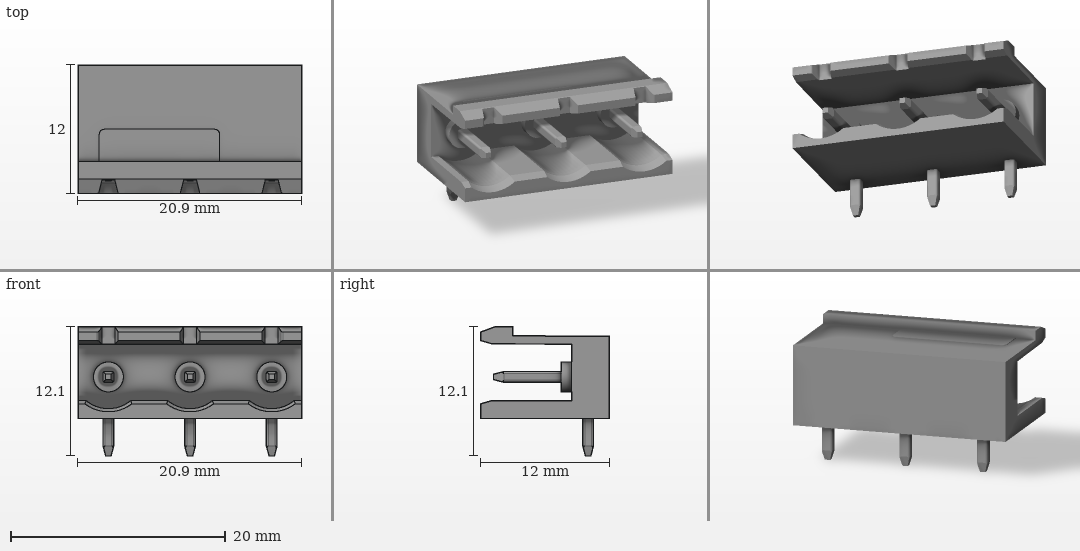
import cadquery as cq


length = 20.85
pin_count = 3
pin_pitch = 7.61
pin_xs = [length / 2 + (i - (pin_count - 1) / 2) * pin_pitch for i in range(pin_count)]

depth = 12.0
top_z = 7.68
floor_z = 1.67
cavity_back_y = 8.47
ceiling_back_z = 6.9
ceiling_mouth_z = 6.97
lead_in_depth = 1.0
lead_in_drop = 0.3
lip_top_z = 8.57
lip_back_y = 3.0
lip_slope_y = 1.35
lip_front_top_z = 8.07

notch_depth = 1.25
notch_front_half_width = 0.92
notch_back_half_width = 0.6
end_corner_radius = 0.19

trough_depth = 0.75
trough_half_width = 2.09
trough_radius = (trough_half_width**2 + trough_depth**2) / (2 * trough_depth)
trough_axis_z = floor_z - trough_depth + trough_radius

boss_diameter = 2.8
boss_height = 0.98

pad_x_start = 1.96
pad_x_end = 13.18
pad_back_y = 6.0
pad_height = 0.06
pad_corner_radius = 0.48

pin_width = 1.02
pin_edge_radius = 0.2
pin_tip_width = pin_width / 2
pin_tip_length = 0.95
pin_z = 3.88
pin_front_y = 1.19
solder_leg_y = 10.01
solder_leg_length = 3.5


def housing_block():
    """Side section of the housing, swept along the full length."""
    profile = [
        (0, 0),
        (depth, 0),
        (depth, top_z),
        (lip_back_y, top_z),
        (lip_back_y, lip_top_z),
        (lip_slope_y, lip_top_z),
        (0, lip_front_top_z),
        (0, ceiling_mouth_z + lead_in_drop),
        (lead_in_depth, ceiling_mouth_z),
        (cavity_back_y, ceiling_back_z),
        (cavity_back_y, floor_z),
        (lead_in_depth, floor_z),
        (0, floor_z - lead_in_drop),
    ]
    return cq.Workplane("YZ").polyline(profile).close().extrude(length)


def lip_notch(x):
    """Wedge that opens the lip above the cavity; it narrows towards the rear."""
    outline = [
        (x - notch_front_half_width, 0),
        (x + notch_front_half_width, 0),
        (x + notch_back_half_width, notch_depth),
        (x - notch_back_half_width, notch_depth),
    ]
    cavity_mid_z = (floor_z + ceiling_back_z) / 2
    wedge = cq.Workplane("XY").workplane(offset=cavity_mid_z).polyline(outline).close()
    return wedge.extrude(lip_top_z - cavity_mid_z)


def round_end_corners(body):
    """Round the outermost front corner of the first and the last notch."""
    corner_xs = (pin_xs[0] - notch_front_half_width, pin_xs[-1] + notch_front_half_width)
    corner_z = (lip_front_top_z + ceiling_mouth_z + lead_in_drop) / 2
    for x in corner_xs:
        body = body.edges(cq.NearestToPointSelector((x, 0, corner_z))).fillet(end_corner_radius)
    return body


def floor_trough(x):
    """Cylinder over the cavity floor that flares into a cone along the lead-in slope."""
    half_profile = [
        (0, 0),
        (trough_radius + lead_in_drop, 0),
        (trough_radius, lead_in_depth),
        (trough_radius, cavity_back_y),
        (0, cavity_back_y),
    ]
    trough = cq.Workplane("XY").polyline(half_profile).close().revolve(360, (0, 0, 0), (0, 1, 0))
    reach = 2 * trough_radius
    lower_half = cq.Workplane("XY").box(reach, depth, reach, centered=(True, False, False))
    lower_half = lower_half.translate((0, 0, -reach))
    return trough.intersect(lower_half).translate((x, 0, trough_axis_z))


def pin_boss(x):
    """Round boss on the back wall of the cavity."""
    plane = cq.Workplane("XZ", origin=(x, cavity_back_y, pin_z))
    return plane.circle(boss_diameter / 2).extrude(boss_height)


def label_pad():
    """Thin pad behind the lip with rounded rear corners."""
    pad = cq.Workplane("XY").box(
        pad_x_end - pad_x_start, pad_back_y - lip_back_y, pad_height, centered=False
    )
    pad = pad.edges("|Z and >Y").fillet(pad_corner_radius)
    return pad.translate((pad_x_start, lip_back_y, top_z))


def pin_leg(leg_length):
    """Square leg along +Z from the origin, with rounded long edges and a tapered tip."""
    shank_length = leg_length - pin_tip_length
    shank = cq.Workplane("XY").rect(pin_width, pin_width).extrude(shank_length)
    tip = (
        cq.Workplane("XY")
        .workplane(offset=shank_length)
        .rect(pin_width, pin_width)
        .workplane(offset=pin_tip_length)
        .rect(pin_tip_width, pin_tip_width)
        .loft(ruled=True)
    )
    rounded_bar = cq.Workplane("XY").rect(pin_width, pin_width).extrude(leg_length)
    rounded_bar = rounded_bar.edges("|Z").fillet(pin_edge_radius)
    return shank.union(tip).intersect(rounded_bar)


def make_pin(x):
    """L-shaped pin: a contact leg to the front and a solder leg downwards."""
    rear_y = solder_leg_y + pin_width / 2
    upper_z = pin_z + pin_width / 2
    contact_leg = pin_leg(rear_y - pin_front_y).rotate((0, 0, 0), (1, 0, 0), 90)
    contact_leg = contact_leg.translate((x, rear_y, pin_z))
    solder_leg = pin_leg(upper_z + solder_leg_length).rotate((0, 0, 0), (1, 0, 0), 180)
    solder_leg = solder_leg.translate((x, solder_leg_y, upper_z))
    return contact_leg.union(solder_leg)


def make_housing(pins):
    """Housing with a matching hole for every pin."""
    body = housing_block()
    for x in pin_xs:
        body = body.cut(lip_notch(x))
    body = round_end_corners(body)
    for x in pin_xs:
        body = body.cut(floor_trough(x)).union(pin_boss(x))
    body = body.union(label_pad())
    for pin in pins:
        body = body.cut(pin)
    return body


pins = [make_pin(x) for x in pin_xs]
housing = make_housing(pins)

result = cq.Compound.makeCompound([housing.solids().val(), *[pin.solids().val() for pin in pins]])